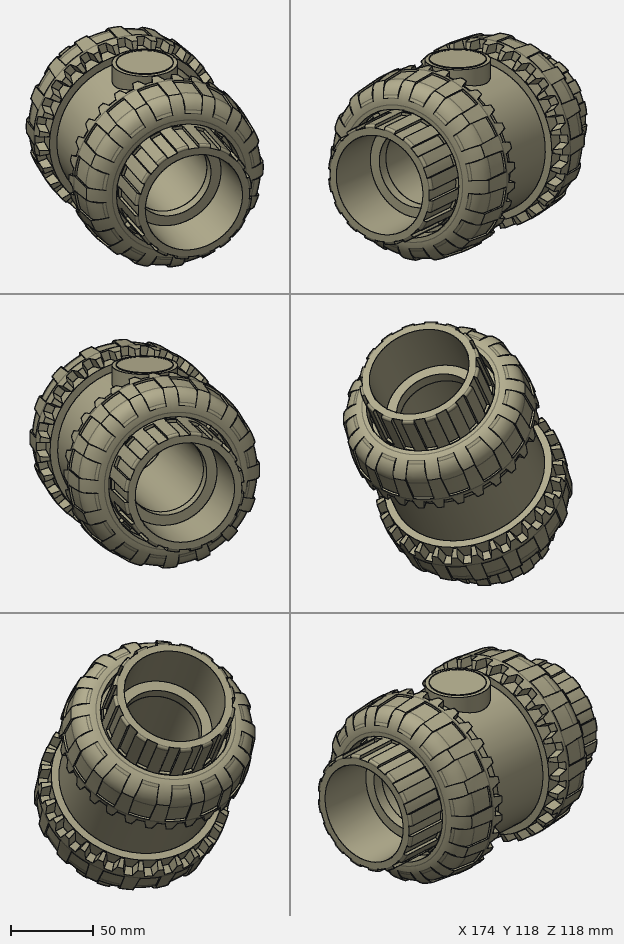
import cadquery as cq

half_length = 87.0
bore_radius = 50.0 / 2

housing_radius = 97.0 / 2
housing_half_length = 41.8
boss_radius = 40.0 / 2
boss_top = 56.2
plug_radius = 34.8 / 2
plug_top = 56.7
plug_bottom = housing_radius

connector_radius = 76.0 / 2
socket_radius = 63.0 / 2
socket_depth = 38.0
groove_depth = 2.0
groove_end_x = -57.5
groove_count = 16
rib_angle = 11.8
groove_angle = 360 / groove_count - rib_angle
rib_end_round = 1.7
flange_thickness = 7.0
flange_radius = housing_radius
flange_outer_x = -housing_half_length - flange_thickness

gusset_count = 8
gusset_width = 7.0
gusset_top = 40.4
gusset_root = 34.8
gusset_chamfer = 1.4
gusset_front_x = -55.7

nut_radius = 59.0
nut_outer_x = -61.0
nut_inner_x = -23.3
nut_hole_radius = 81.5 / 2
nut_face_radius = 43.5
shoulder_x = -53.0
shoulder_radius = 57.5
shoulder_mid_x = -58.3
shoulder_mid_radius = 52.5
band_x = -35.1

tooth_count = 29
tooth_root_radius = 53.2
tooth_tip_x = -24.4
tooth_chamfer_x = -26.5
slot_root_x = -33.0
slot_root_width = 5.2
slot_mouth_width = 10.8
slot_wall_draft = 5.0
slot_tool_rise = 0.2
first_slot_angle = 90.0

pocket_count = 16
pocket_pitch = 360 / pocket_count
pocket_end_x = -36.0
pocket_end_radius = 57.6
pocket_crease_x = -49.5
pocket_crease_radius = 56.5
pocket_mid_x = -56.2
pocket_mid_radius = 54.0
pocket_tail_x = -59.5
pocket_tail_radius = 49.5
pocket_exit_x = -60.9
pocket_exit_radius = 47.0
pocket_end_half_width = 6.6
pocket_corner_half_width = 7.1
pocket_exit_half_width = 5.2

overshoot = 1.7


def revolve_about_x(profile, angle=360):
    """Revolve a closed profile in the XZ plane (x, radius) about the X axis."""
    return profile.close().revolve(angle, (0, 0, 0), (1, 0, 0))


def rod(x_start, x_end, radius):
    """Solid cylinder along X."""
    return cq.Workplane("YZ", origin=(x_start, 0, 0)).circle(radius).extrude(x_end - x_start)


def around_x(feature, angle):
    return feature.rotate((0, 0, 0), (1, 0, 0), angle)


def turned_about_z(part):
    return part.rotate((0, 0, 0), (0, 0, 1), 180)


def ring_of(feature, count, first_angle=0.0):
    """Copies of a feature spread evenly about the X axis, as one tool."""
    copies = [around_x(feature, first_angle + i * 360 / count).val() for i in range(count)]
    return cq.Workplane(obj=cq.Compound.makeCompound(copies))


def make_housing():
    """Straight tube with a round boss on top, recessed for the plug."""
    barrel = rod(-housing_half_length, housing_half_length, housing_radius)
    boss = cq.Workplane("XY").circle(boss_radius).extrude(boss_top)
    bore = rod(-half_length, half_length, bore_radius)
    return barrel.union(boss).cut(bore).cut(make_plug())


def make_plug():
    """Round plug that closes the boss and stands slightly proud of it."""
    seat = cq.Workplane("XY", origin=(0, 0, plug_bottom))
    return seat.circle(plug_radius).extrude(plug_top - plug_bottom)


def make_connector_blank():
    """Turned outside of the connector: barrel with a rounded outer end, and the flange."""
    profile = (
        cq.Workplane("XZ")
        .moveTo(-half_length, 0)
        .lineTo(-half_length, connector_radius - rib_end_round)
        .radiusArc((-half_length + rib_end_round, connector_radius), rib_end_round)
        .lineTo(flange_outer_x, connector_radius)
        .lineTo(flange_outer_x, flange_radius)
        .lineTo(-housing_half_length, flange_radius)
        .lineTo(-housing_half_length, 0)
    )
    return revolve_about_x(profile)


def make_groove():
    """Shallow groove between two grip ribs, centred on +Z and open at the outer end."""
    floor_radius = connector_radius - groove_depth
    profile = (
        cq.Workplane("XZ")
        .moveTo(-half_length - overshoot, floor_radius)
        .lineTo(-half_length - overshoot, connector_radius + overshoot)
        .lineTo(groove_end_x, connector_radius + overshoot)
        .lineTo(groove_end_x, floor_radius)
    )
    return around_x(revolve_about_x(profile, groove_angle), -groove_angle / 2)


def make_gusset():
    """Block on the barrel against the flange, with its front top edge chamfered."""
    return (
        cq.Workplane("XZ", origin=(0, gusset_width / 2, 0))
        .moveTo(flange_outer_x, gusset_root)
        .lineTo(gusset_front_x, gusset_root)
        .lineTo(gusset_front_x, gusset_top - gusset_chamfer)
        .lineTo(gusset_front_x + gusset_chamfer, gusset_top)
        .lineTo(flange_outer_x, gusset_top)
        .close()
        .extrude(gusset_width)
    )


def make_connector():
    """Socket end: ribbed barrel, plain collar, flange held by the nut, stepped bore."""
    socket = rod(-half_length, -half_length + socket_depth, socket_radius)
    bore = rod(-half_length, -housing_half_length, bore_radius)
    connector = make_connector_blank().cut(ring_of(make_groove(), groove_count))
    connector = connector.union(ring_of(make_gusset(), gusset_count))
    return connector.cut(socket).cut(bore)


def make_nut_blank():
    """Turned shape of the nut: rounded outer shoulder, conical grip and thinner inner rim."""
    profile = (
        cq.Workplane("XZ")
        .moveTo(nut_outer_x, nut_hole_radius)
        .lineTo(nut_outer_x, nut_face_radius)
        .threePointArc((shoulder_mid_x, shoulder_mid_radius), (shoulder_x, shoulder_radius))
        .lineTo(band_x, nut_radius)
        .lineTo(band_x, tooth_root_radius)
        .lineTo(nut_inner_x, tooth_root_radius)
        .lineTo(nut_inner_x, housing_radius)
        .lineTo(flange_outer_x, housing_radius)
        .lineTo(flange_outer_x, nut_hole_radius)
    )
    return revolve_about_x(profile)


def make_tooth_slot():
    """Tapered gap between two teeth, centred on +Z and open toward the middle of the part."""
    slot_top = nut_radius + slot_tool_rise
    return (
        cq.Workplane("XY", origin=(0, 0, slot_top))
        .moveTo(slot_root_x, slot_root_width / 2)
        .lineTo(nut_inner_x, slot_mouth_width / 2)
        .lineTo(nut_inner_x, -slot_mouth_width / 2)
        .lineTo(slot_root_x, -slot_root_width / 2)
        .close()
        .extrude(tooth_root_radius - overshoot - slot_top, taper=slot_wall_draft)
    )


def make_tooth_crown():
    """Ring of teeth around the inner rim, with sloped tips."""
    profile = (
        cq.Workplane("XZ")
        .moveTo(band_x, tooth_root_radius)
        .lineTo(band_x, nut_radius)
        .lineTo(tooth_chamfer_x, nut_radius)
        .lineTo(tooth_tip_x, tooth_root_radius)
    )
    return revolve_about_x(profile).cut(ring_of(make_tooth_slot(), tooth_count, first_slot_angle))


def make_pocket():
    """Grip pocket centred on +Z: its floor follows the nut, its sides follow a tapered plan."""
    top = nut_radius + overshoot
    outside_x = nut_outer_x - overshoot
    space_profile = (
        cq.Workplane("XZ")
        .moveTo(pocket_end_x, top)
        .lineTo(pocket_end_x, pocket_end_radius)
        .lineTo(pocket_crease_x, pocket_crease_radius)
        .threePointArc((pocket_mid_x, pocket_mid_radius), (pocket_tail_x, pocket_tail_radius))
        .lineTo(pocket_exit_x, pocket_exit_radius)
        .lineTo(outside_x, pocket_exit_radius)
        .lineTo(outside_x, top)
    )
    space = around_x(revolve_about_x(space_profile, pocket_pitch), -pocket_pitch / 2)
    plan = (
        cq.Workplane("XY")
        .moveTo(pocket_end_x, pocket_end_half_width)
        .lineTo(shoulder_x, pocket_corner_half_width)
        .lineTo(pocket_exit_x, pocket_exit_half_width)
        .lineTo(outside_x, pocket_exit_half_width)
        .lineTo(outside_x, -pocket_exit_half_width)
        .lineTo(pocket_exit_x, -pocket_exit_half_width)
        .lineTo(shoulder_x, -pocket_corner_half_width)
        .lineTo(pocket_end_x, -pocket_end_half_width)
        .close()
        .extrude(top)
    )
    return space.intersect(plan)


def make_nut():
    """Union nut with grip pockets and a crown of teeth."""
    pockets = ring_of(make_pocket(), pocket_count, pocket_pitch / 2)
    return make_nut_blank().cut(pockets).union(make_tooth_crown())


housing = make_housing()
plug = make_plug()
left_connector = make_connector()
right_connector = turned_about_z(left_connector)
left_nut = make_nut()
right_nut = turned_about_z(left_nut)

result = cq.Compound.makeCompound(
    [
        housing.val(),
        plug.val(),
        left_connector.val(),
        right_connector.val(),
        left_nut.val(),
        right_nut.val(),
    ]
)